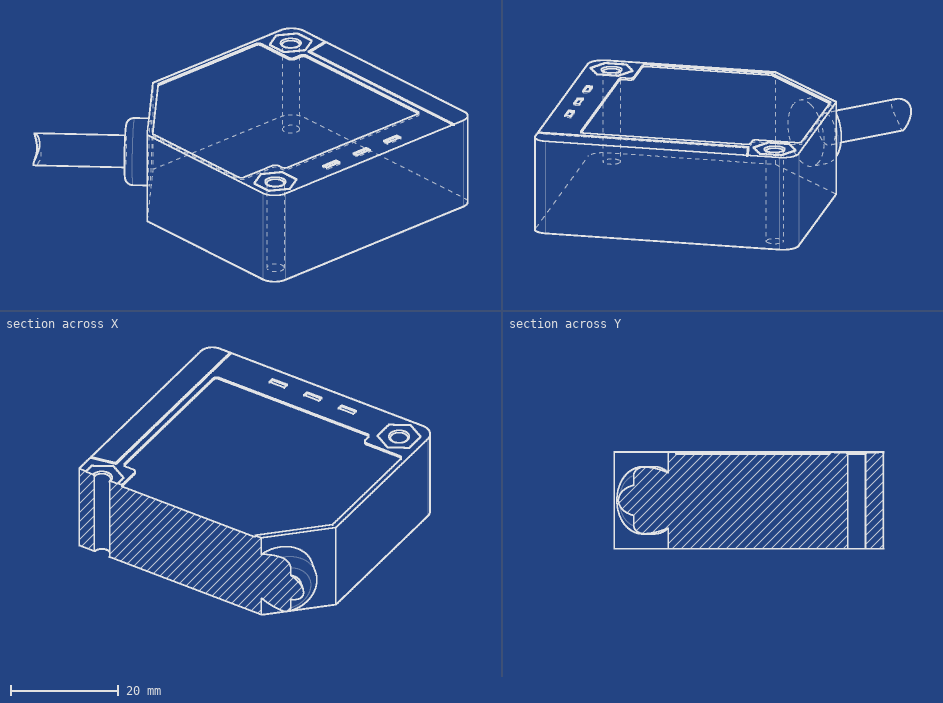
import cadquery as cq
import math

side = 50.0
height = 18.0
corner_cut = 15.0
corner_radius = 3.0
back_right_radius = 2.5

hole_inset = 5.0
hole_diameter = 3.2
hole_chamfer = 0.3
nut_across_flats = 7.0
nut_seat_depth = 0.1

panel_border = 1.0
panel_depth = 0.35
panel_back_gap = 6.4
panel_right_gap = 7.6
panel_step_x = 10.1
panel_back_step_y = 9.4
panel_front_step_y = 9.65
panel_corner_radius = 0.7

strip_width = 5.0
strip_start_back = 9.0
strip_start_front = 9.9
groove_width = 0.2
groove_depth = 0.2

window_count = 3
window_pitch = 7.55
window_width = 1.1
window_length = 3.3
window_depth = 0.3
window_right_gap = 3.2

gland_diameter = 12.5
gland_length = 4.5
gland_rounding = 1.5
cable_diameter = 6.0
cable_length = 21.0
cable_end_rise = 0.6

hole_positions = [(hole_inset, side - hole_inset), (side - hole_inset, hole_inset)]


def make_housing():
    block = cq.Workplane("XY").box(side, side, height, centered=False)
    block = block.edges("|Z and >X and >Y").fillet(back_right_radius)
    for x, y in [(0, side), (side, 0)]:
        corner = cq.selectors.NearestToPointSelector((x, y, height / 2))
        block = block.edges(corner).fillet(corner_radius)
    return block.edges("|Z and <X and <Y").chamfer(corner_cut)


def make_panel():
    cut_end = corner_cut + panel_border * math.tan(math.radians(22.5))
    right = side - panel_right_gap
    back = side - panel_back_gap
    step_right = side - panel_step_x
    step_back = side - panel_back_step_y
    outline = [
        (panel_border, cut_end),
        (panel_border, step_back),
        (panel_step_x, step_back),
        (panel_step_x, back),
        (right, back),
        (right, panel_front_step_y),
        (step_right, panel_front_step_y),
        (step_right, panel_border),
        (cut_end, panel_border),
    ]
    panel = cq.Workplane("XY", origin=(0, 0, height)).polyline(outline).close().extrude(-panel_depth)
    sharp_corners = outline[1:-1]
    for x, y in sharp_corners:
        corner = cq.selectors.NearestToPointSelector((x, y, height - panel_depth / 2))
        panel = panel.edges("|Z").edges(corner).fillet(panel_corner_radius)
    return panel


def make_strip_groove():
    front = side - strip_width
    outline = [
        (strip_start_back, side),
        (strip_start_front, front),
        (side, front),
        (side, front + groove_width),
        (strip_start_front + groove_width, front + groove_width),
        (strip_start_back + groove_width, side),
    ]
    return cq.Workplane("XY", origin=(0, 0, height)).polyline(outline).close().extrude(-groove_depth)


def make_windows():
    return (
        cq.Workplane("XY", origin=(side - window_right_gap, side / 2, height))
        .rarray(0.6, window_pitch, 1, window_count)
        .rect(window_width, window_length)
        .extrude(-window_depth)
    )


def cut_mounting_holes(body):
    nut_across_corners = nut_across_flats / math.cos(math.radians(30))
    seats = (
        cq.Workplane("XY", origin=(0, 0, height))
        .pushPoints(hole_positions)
        .polygon(6, nut_across_corners)
        .extrude(-nut_seat_depth)
    )
    mouth_diameter = hole_diameter + 2 * hole_chamfer
    seat_level = height - nut_seat_depth
    mouth_angle = 90
    return (
        body.cut(seats)
        .copyWorkplane(cq.Workplane("XY", origin=(0, 0, seat_level)))
        .pushPoints(hole_positions)
        .cskHole(hole_diameter, mouth_diameter, mouth_angle)
    )


cable_plane = cq.Plane(
    origin=(corner_cut / 2, corner_cut / 2, height / 2),
    xDir=(1, -1, 0),
    normal=(-1, -1, 0),
)


def make_gland():
    return (
        cq.Workplane(cable_plane)
        .circle(gland_diameter / 2)
        .extrude(gland_length)
        .faces(cq.selectors.DirectionMinMaxSelector(cable_plane.zDir))
        .edges()
        .fillet(gland_rounding)
    )


def make_cable():
    reach = cable_diameter
    radius = cable_diameter / 2
    slope = 2 * cable_end_rise * reach / radius**2

    def side_wire(x, lean):
        corners = [
            (x, -reach, 0),
            (x, reach, 0),
            (x, reach, cable_length + lean * reach),
            (x, -reach, cable_length - lean * reach),
        ]
        points = [cable_plane.toWorldCoords(corner) for corner in corners]
        return cq.Wire.makePolygon(points, close=True)

    envelope = cq.Solid.makeLoft([side_wire(-reach, slope), side_wire(reach, -slope)], True)
    longest = cable_length + slope * reach
    cable = cq.Workplane(cable_plane).circle(radius).extrude(longest)
    return cable.intersect(cq.Workplane(envelope))


housing = make_housing().cut(make_panel()).cut(make_strip_groove()).cut(make_windows())
result = cut_mounting_holes(housing).union(make_gland()).union(make_cable())